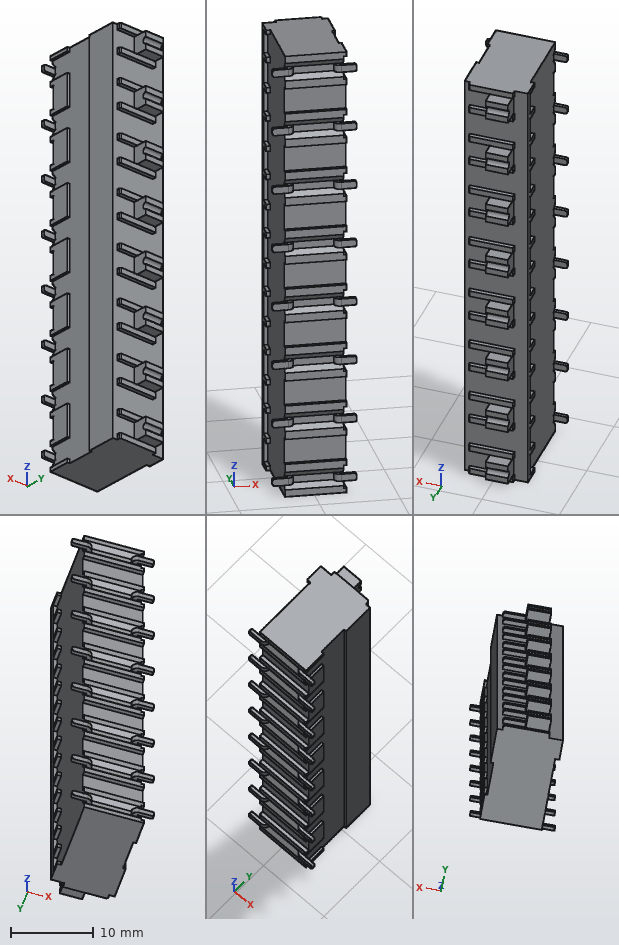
import cadquery as cq
import math

length = 57.55
station_count = 8
end_margin = 2.1
pitch = (length - 2 * end_margin) / (station_count - 1)
station_heights = [end_margin + i * pitch for i in range(station_count)]

left_x = -3.6
right_x = 4.0
front_y = 0.25
back_y = 11.75

rail_x = -4.15
rail_y = 10.9
finger_y = 9.25
finger_height = 0.7

side_recess_x = 3.7
side_recess_start_y = 3.4
side_recess_end_y = 7.4

band_half = 2.2
set_back_y = 0.75
groove_mouth_half = 1.15
groove_floor_half = 0.45
corner_notch_half = band_half - finger_height

ledge_left_x = -2.4
ledge_right_x = 3.35
ledge_y = 12.3
ledge_span = 2 * end_margin
ledge_chamfer = 0.2
tab_left_x = -2.3
tab_right_x = 0.6
tab_y = 13.85
tab_height = 2.6
tab_notch_radius = 0.45

pin_span = 10.5
pin_height = 0.9
pin_thickness = 0.45
pin_tip_radius = 0.3
pin_bend_radius = set_back_y
pin_root_x = 2.55
pin_root_y = 1.7


def box(x0, x1, y0, y1, z0, z1):
    """Axis-aligned block between two opposite corners."""
    return cq.Workplane("XY").box(x1 - x0, y1 - y0, z1 - z0, centered=False).translate((x0, y0, z0))


def clip_to_length(z0, z1):
    """Keep a Z range inside the ends of the strip."""
    return max(z0, 0), min(z1, length)


def make_band(z):
    """Raised front band across the housing."""
    return box(left_x, right_x, front_y, set_back_y, *clip_to_length(z - band_half, z + band_half))


def make_groove(z):
    """Trapezoidal groove along X in the front of a band."""
    return (
        cq.Workplane("YZ", origin=(left_x, 0, z))
        .polyline([
            (front_y, groove_mouth_half),
            (set_back_y, groove_floor_half),
            (set_back_y, -groove_floor_half),
            (front_y, -groove_mouth_half),
        ])
        .close()
        .extrude(right_x - left_x)
    )


def make_corner_notch(z):
    """Notch in the front right corner of a band, running back to the side recess."""
    return box(side_recess_x, right_x, front_y, side_recess_start_y,
               z - corner_notch_half, z + corner_notch_half)


def make_fingers(z):
    """Two ribs reaching forward from the rail at the edges of a band."""
    upper = box(rail_x, left_x, finger_y, rail_y, *clip_to_length(z + corner_notch_half, z + band_half))
    lower = box(rail_x, left_x, finger_y, rail_y, *clip_to_length(z - band_half, z - corner_notch_half))
    return upper.union(lower)


def make_ledges(z):
    """Two low ledges on the rear face, one above and one below the tab, each with a chamfered corner."""
    outer_half = ledge_span / 2
    inner_half = tab_height / 2
    upper = box(ledge_left_x, ledge_right_x, back_y, ledge_y, z + inner_half, z + outer_half)
    lower = box(ledge_left_x, ledge_right_x, back_y, ledge_y, z - outer_half, z - inner_half)
    return upper.union(lower).edges("|Z and >X and >Y").chamfer(ledge_chamfer)


def make_tab(z):
    """Contact tab between the ledges, with a round notch across its end."""
    tab = box(tab_left_x, tab_right_x, back_y, tab_y, z - tab_height / 2, z + tab_height / 2)
    notch = (
        cq.Workplane("YZ", origin=(tab_left_x, tab_y, z))
        .circle(tab_notch_radius)
        .extrude(tab_right_x - tab_left_x)
    )
    return tab.cut(notch)


def make_right_pin(z):
    """L-shaped solder pin: a foot pointing to +X and a leg bent back into the housing."""
    tip_x = pin_span / 2
    bend_end_x = pin_root_x + pin_bend_radius
    bend_mid = pin_bend_radius * (1 - math.cos(math.pi / 4))
    pin = (
        cq.Workplane("XY", origin=(0, 0, z - pin_height / 2))
        .moveTo(tip_x, 0)
        .lineTo(bend_end_x, 0)
        .threePointArc((pin_root_x + bend_mid, bend_mid), (pin_root_x, pin_bend_radius))
        .lineTo(pin_root_x, pin_root_y)
        .lineTo(bend_end_x, pin_root_y)
        .lineTo(bend_end_x, pin_thickness)
        .lineTo(tip_x, pin_thickness)
        .close()
        .extrude(pin_height)
    )
    return pin.edges("|Y and >X").fillet(pin_tip_radius)


def make_pins(z):
    """Mirrored pair of pins."""
    right_pin = make_right_pin(z)
    return right_pin.union(right_pin.mirror("YZ"))


result = box(left_x, right_x, set_back_y, back_y, 0, length)
result = result.union(box(rail_x, left_x, rail_y, back_y, 0, length))
for z in station_heights:
    result = result.union(make_band(z)).union(make_fingers(z))
result = result.cut(box(side_recess_x, right_x, side_recess_start_y, side_recess_end_y, 0, length))

for z in station_heights:
    result = result.cut(make_groove(z)).cut(make_corner_notch(z))
    result = result.union(make_ledges(z)).union(make_tab(z)).union(make_pins(z))